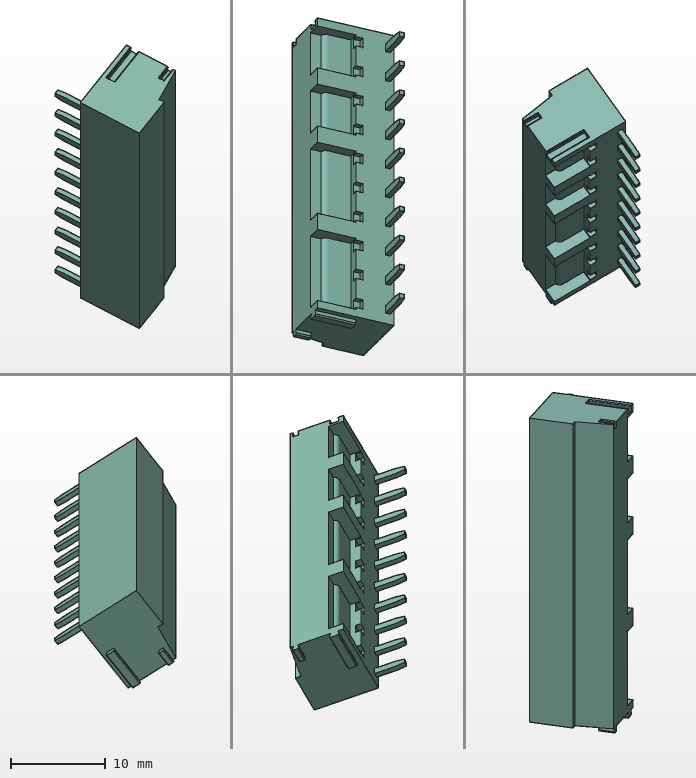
import cadquery as cq
import math

POLES = 10
PIN_LENGTH = 3.5
BODY_DEPTH = 7.43
BODY_WIDTH = 9.0
TOTAL_HEIGHT = 35.55
TAB_HEIGHT = 0.65
BODY_HEIGHT = TOTAL_HEIGHT - TAB_HEIGHT

SLOPE_TOP_X = 6.2
SLOPE_FOOT_X = 6.8
SLOPE_FOOT_Y = 4.87

PIN_ROW_SPAN = 31.5
PITCH = PIN_ROW_SPAN / (POLES - 1)
FIRST_PIN_Z = 1.67
PIN_Y = 0.75
PIN_THICKNESS = 0.57
PIN_HEIGHT = 0.85
PIN_TIP_HEIGHT = 0.55
PIN_TAPER = 1.0

POCKET_MARGIN = 0.9
DIVIDER = 1.95
POCKET_Y = 4.48
POCKET_DEPTH = 1.25
STEP_RADIUS = 0.6
STEP_DROP = 0.45
STEP_FLOOR_DEPTH = POCKET_DEPTH + STEP_DROP
STEP_Y = 7.15
POCKET_POLES = (3, 3, 2, 2)

NOTCH_HEIGHT = 1.1
NOTCH_WIDTH = 0.8
NOTCH_DEPTH = 0.65

DOVETAILS = ((1.05, 1.1, 4.75), (5.55, 0.75, 1.78))
NECK_INSET = 0.1
TIP_INSET = 0.1
TIP_BEVEL = 0.18
LEAD_IN = 0.1
SLOT_DEPTH = TAB_HEIGHT


def make_body():
    """Housing prism with a step and a sloped face on its +X side."""
    return (
        cq.Workplane("XY")
        .moveTo(0, 0)
        .lineTo(BODY_DEPTH, 0)
        .lineTo(BODY_DEPTH, SLOPE_FOOT_Y)
        .lineTo(SLOPE_FOOT_X, SLOPE_FOOT_Y)
        .lineTo(SLOPE_TOP_X, BODY_WIDTH)
        .lineTo(0, BODY_WIDTH)
        .close()
        .extrude(BODY_HEIGHT)
    )


def make_pin(z):
    """Flat pin centred at height z, tapering in height towards its tip."""
    half = PIN_HEIGHT / 2
    half_tip = PIN_TIP_HEIGHT / 2
    taper_x = PIN_TAPER - PIN_LENGTH
    return (
        cq.Workplane("XZ", origin=(0, PIN_Y + PIN_THICKNESS / 2, z))
        .moveTo(0, -half)
        .lineTo(taper_x, -half)
        .lineTo(-PIN_LENGTH, -half_tip)
        .lineTo(-PIN_LENGTH, half_tip)
        .lineTo(taper_x, half)
        .lineTo(0, half)
        .close()
        .extrude(PIN_THICKNESS)
    )


def make_pocket(z_bottom, z_top):
    """Pocket whose floor drops over a rounded step towards the open +Y side."""
    step_end_y = STEP_Y + math.sqrt(STEP_RADIUS**2 - (STEP_RADIUS - STEP_DROP) ** 2)
    return (
        cq.Workplane("XY", origin=(0, 0, z_bottom))
        .moveTo(0, POCKET_Y)
        .lineTo(POCKET_DEPTH, POCKET_Y)
        .lineTo(POCKET_DEPTH, STEP_Y)
        .radiusArc((STEP_FLOOR_DEPTH, step_end_y), STEP_RADIUS)
        .lineTo(STEP_FLOOR_DEPTH, BODY_WIDTH)
        .lineTo(0, BODY_WIDTH)
        .close()
        .extrude(z_top - z_bottom)
    )


def make_notch(z):
    """Shallow recess beside the pocket, open to the pocket and the pin face."""
    return cq.Workplane("XY", origin=(0, POCKET_Y - NOTCH_WIDTH, z)).box(
        NOTCH_DEPTH, NOTCH_WIDTH, NOTCH_HEIGHT, centered=(False, False, True)
    )


def extrude_dovetail(right_side, center_x, z, length):
    """Mirror one side of a dovetail profile about its centre and run it in from the +Y face."""
    left_side = [(-x, height) for x, height in reversed(right_side)]
    return (
        cq.Workplane("XZ", origin=(center_x, BODY_WIDTH, z))
        .polyline(right_side + left_side)
        .close()
        .extrude(length)
    )


def make_tab(center_x, width, length):
    """Tab that widens away from the housing and has a bevelled tip."""
    half = width / 2
    right_side = [
        (half - NECK_INSET, 0),
        (half, TIP_BEVEL - TAB_HEIGHT),
        (half - TIP_INSET, -TAB_HEIGHT),
    ]
    return extrude_dovetail(right_side, center_x, 0, length)


def make_slot(center_x, width, length):
    """Undercut slot with a bevelled mouth and bevelled floor corners."""
    half = width / 2
    right_side = [
        (half, 0),
        (half - NECK_INSET, -LEAD_IN),
        (half, TIP_BEVEL - SLOT_DEPTH),
        (half - TIP_INSET, -SLOT_DEPTH),
    ]
    return extrude_dovetail(right_side, center_x, BODY_HEIGHT, length)


result = make_body()

pocket_bottom = POCKET_MARGIN
for poles in POCKET_POLES:
    pocket_top = pocket_bottom + poles * PITCH - DIVIDER
    result = result.cut(make_pocket(pocket_bottom, pocket_top))
    pocket_bottom = pocket_top + DIVIDER

for pole in range(POLES):
    pole_z = FIRST_PIN_Z + pole * PITCH
    result = result.cut(make_notch(pole_z))
    result = result.union(make_pin(pole_z))

for center_x, width, length in DOVETAILS:
    result = result.cut(make_slot(center_x, width, length))
    result = result.union(make_tab(center_x, width, length))